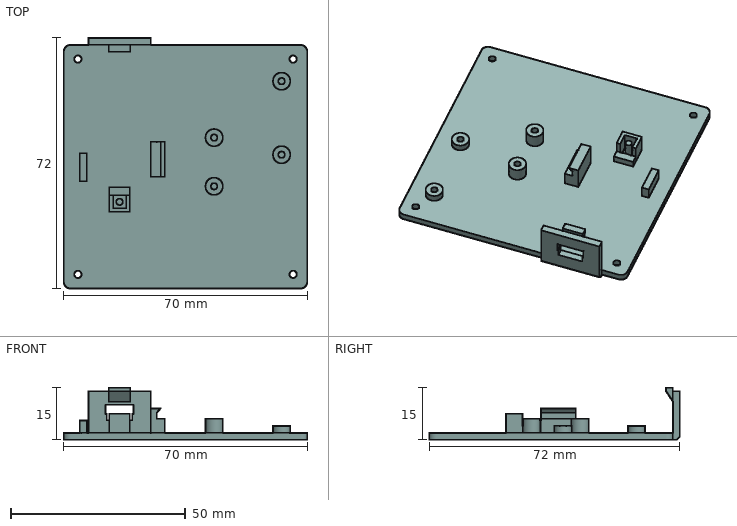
import cadquery as cq

plate_side = 70.0
plate_thickness = 2.0
corner_radius = 2.0
half_side = plate_side / 2
mount_hole_diameter = 2.0
mount_hole_inset = 4.1

standoff_diameter = 5.0
standoff_bore = 1.9
tall_standoff_height = 4.0
short_standoff_height = 2.0
tall_standoff_x = 8.2
tall_standoff_ys = (8.35, -5.6)
short_standoff_x = 27.6
short_standoff_ys = (24.55, 3.45)

overall_length = 72
panel_thickness = overall_length - plate_side
panel_width = 17.9
panel_height = 14.0
panel_centre_x = -18.9
panel_chamfer = 0.9

window_width = 7.9
window_lower_width = 7.3
window_top = 10.0
window_step = 7.4
window_bottom = 5.6

hook_width = 6.2
hook_reach = 2.0
hook_top = 15.0
hook_bottom = 10.95

block_centre_x = -29.4
block_centre_y = -0.15
block_width = 2.1
block_length = 8.0
block_height = 3.5

connector_left_x = -10.0
connector_base_width = 4.1
connector_top_width = 2.9
connector_neck_width = 1.8
connector_ledge_height = 4.0
connector_undercut_height = 5.75
connector_height = 7.0
connector_front_y = -2.9
connector_length = 10.0

socket_centre_x = panel_centre_x
socket_front_y = -12.95
socket_width = 5.9
socket_length = 7.05
socket_height = 5.5
socket_step_length = 2.2
socket_step_height = 2.0
socket_wall = 1.1
socket_pin_diameter = 1.9
socket_pin_height = 4.6
socket_pin_y = -10.1


def box_on(base_z, centre_x, front_y, width, length, height):
    """Box standing at base_z, centred on centre_x and running rearward from front_y."""
    return cq.Workplane("XY").box(width, length, height, centered=(True, False, False)).translate(
        (centre_x, front_y, base_z)
    )


def make_plate():
    plate = cq.Workplane("XY").rect(plate_side, plate_side).extrude(plate_thickness)
    hole_pitch = plate_side - 2 * mount_hole_inset
    return (
        plate.edges("|Z")
        .fillet(corner_radius)
        .faces(">Z")
        .workplane()
        .rect(hole_pitch, hole_pitch, forConstruction=True)
        .vertices()
        .hole(mount_hole_diameter)
    )


def make_standoff(x, y, height):
    return (
        cq.Workplane("XY", origin=(x, y, plate_thickness))
        .circle(standoff_diameter / 2)
        .circle(standoff_bore / 2)
        .extrude(height)
    )


def make_latch_panel():
    panel = box_on(0, panel_centre_x, half_side, panel_width, panel_thickness, panel_height)
    panel = panel.edges(">Y and <Z").chamfer(panel_chamfer)
    for width, bottom, top in (
        (window_width, window_step, window_top),
        (window_lower_width, window_bottom, window_step),
    ):
        panel = panel.cut(box_on(bottom, panel_centre_x, half_side, width, panel_thickness, top - bottom))
    hook_tip_y = half_side - hook_reach
    hook = (
        cq.Workplane("YZ", origin=(panel_centre_x, 0, 0))
        .moveTo(half_side, hook_bottom)
        .lineTo(half_side, hook_top)
        .lineTo(hook_tip_y, hook_top)
        .lineTo(hook_tip_y, panel_height)
        .close()
        .extrude(hook_width / 2, both=True)
    )
    return panel.union(hook)


def make_connector():
    return (
        cq.Workplane("XZ", origin=(connector_left_x, connector_front_y, plate_thickness))
        .lineTo(connector_base_width, 0)
        .lineTo(connector_base_width, connector_ledge_height)
        .lineTo(connector_neck_width, connector_ledge_height)
        .lineTo(connector_neck_width, connector_undercut_height)
        .lineTo(connector_top_width, connector_height)
        .lineTo(0, connector_height)
        .close()
        .extrude(-connector_length)
    )


def make_socket():
    body_length = socket_length - socket_step_length
    step = box_on(
        plate_thickness, socket_centre_x, socket_front_y, socket_width, socket_length, socket_step_height
    )
    body = box_on(
        plate_thickness, socket_centre_x, socket_front_y, socket_width, body_length, socket_height
    )
    pocket = box_on(
        plate_thickness,
        socket_centre_x,
        socket_front_y + socket_wall,
        socket_width - 2 * socket_wall,
        body_length - socket_wall,
        socket_height,
    )
    pin = (
        cq.Workplane("XY", origin=(socket_centre_x, socket_pin_y, plate_thickness))
        .circle(socket_pin_diameter / 2)
        .extrude(socket_pin_height)
    )
    return body.union(step).cut(pocket).union(pin)


def make_block():
    front_y = block_centre_y - block_length / 2
    return box_on(plate_thickness, block_centre_x, front_y, block_width, block_length, block_height)


result = make_plate()
for standoff_y in tall_standoff_ys:
    result = result.union(make_standoff(tall_standoff_x, standoff_y, tall_standoff_height))
for standoff_y in short_standoff_ys:
    result = result.union(make_standoff(short_standoff_x, standoff_y, short_standoff_height))
for make_feature in (make_block, make_latch_panel, make_connector, make_socket):
    result = result.union(make_feature())